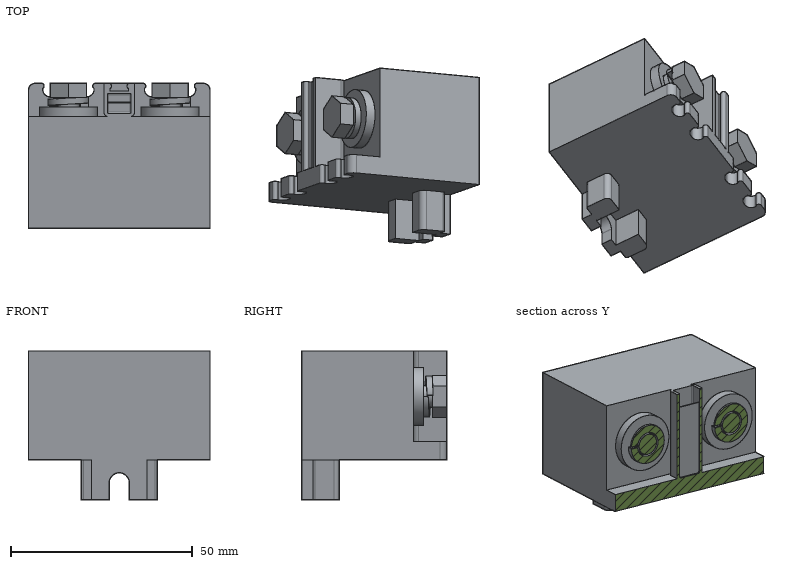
import cadquery as cq
import math

WIDTH = 50.0
DEPTH = 40.0
BODY_HEIGHT = 30.0
BODY_DEPTH = 30.8
SHELF_HEIGHT = 5.1
SHELF_CORNER_RADIUS = 1.9
LIP_RADIUS = 0.8

BOLT_SPACING = 28.0
BOLT_POSITIONS = (-BOLT_SPACING / 2, BOLT_SPACING / 2)
BOLT_HEIGHT = 17.45
FLAT_WASHER_DIAMETER = 16.0
FLAT_WASHER_THICKNESS = 2.7
SHANK_DIAMETER = 6.0
HEX_ACROSS_FLATS = 10.05
HEX_THICKNESS = 4.0
SPRING_INNER_DIAMETER = 6.7
SPRING_OUTER_DIAMETER = 11.2
SPRING_THICKNESS = 1.7
SPRING_PITCH = 1.4
SPRING_TURN = 0.99
SPRING_START = -0.35
NOTCH_WIDTH = 4.45
NOTCH_OFFSET = 4.8
NOTCH_DEPTH = 3.75
NOTCH_CORNER_RADIUS = 2.0
NOTCH_LIP_OVERHANG = 0.35

HOUSING_WIDTH = 8.5
HOUSING_ROOT_RADIUS = 1.45
HOUSING_ROOT_LENGTH = 1.35
CHANNEL_WIDTH = 5.1
CHANNEL_DEPTH = 2.1
CHANNEL_LIP_OVERHANG = 0.4
POCKET_WIDTH = 6.6
POCKET_LENGTH = 5.45
POCKET_BACK_WALL = 2.85
POCKET_RADIUS = 0.4
RIB_THICKNESS = 0.25
RIB_DROP = 4.0
RIB_OFFSET = 5.3

FOOT_HEIGHT = 11.0
FOOT_WIDTH = 21.0
FOOT_DEPTH = 10.4
PLATE_WIDTH = 15.25
PLATE_THICKNESS = 3.1
FOOT_RECESS_WIDTH = 10.1
FOOT_FRONT_RADIUS = 0.6
FOOT_REAR_RADIUS = 1.5
SLOT_WIDTH = 5.5
SLOT_HEIGHT = 7.4


def box(x_min, x_max, y_min, y_max, z_min, z_max):
    size = (x_max - x_min, y_max - y_min, z_max - z_min)
    return cq.Workplane("XY").box(*size, centered=False).translate((x_min, y_min, z_min))


def lipped_recess(width, depth, lip_overhang, z_min, z_max, corner_radius=0.0):
    """Recess cut from the rear face, narrowed at its mouth by two rounded lips."""
    half_width = width / 2
    recess = box(-half_width, half_width, DEPTH - depth, DEPTH, z_min, z_max)
    if corner_radius:
        recess = recess.edges("|Z and <Y").fillet(corner_radius)
    lip_x = half_width - lip_overhang + LIP_RADIUS
    lip_y = DEPTH - LIP_RADIUS
    recess = recess.union(box(-lip_x, lip_x, lip_y, DEPTH, z_min, z_max))
    lips = (
        cq.Workplane("XY", origin=(0, 0, z_min))
        .pushPoints([(-lip_x, lip_y), (lip_x, lip_y)])
        .circle(LIP_RADIUS)
        .extrude(z_max - z_min)
    )
    return recess.cut(lips)


def make_body():
    """Solid block with a lower rear shelf that is notched around the bolts."""
    block = box(-WIDTH / 2, WIDTH / 2, 0, BODY_DEPTH, 0, BODY_HEIGHT)
    shelf = box(-WIDTH / 2, WIDTH / 2, 0, DEPTH, 0, SHELF_HEIGHT)
    shelf = shelf.edges("|Z and >Y").fillet(SHELF_CORNER_RADIUS)
    notch = lipped_recess(
        NOTCH_WIDTH, NOTCH_DEPTH, NOTCH_LIP_OVERHANG, 0, SHELF_HEIGHT, NOTCH_CORNER_RADIUS
    )
    for bolt_x in BOLT_POSITIONS:
        for side in (-1, 1):
            shelf = shelf.cut(notch.translate((bolt_x + side * NOTCH_OFFSET, 0, 0)))
    return block.union(shelf)


def make_housing():
    """Connector housing with a curved root, a lipped rear channel and a ribbed pocket."""
    half_width = HOUSING_WIDTH / 2
    root_y = BODY_DEPTH + HOUSING_ROOT_LENGTH
    sweep = math.asin(HOUSING_ROOT_LENGTH / HOUSING_ROOT_RADIUS)

    def root_point(angle):
        x = half_width - HOUSING_ROOT_RADIUS * (1 - math.cos(angle))
        return x, root_y - HOUSING_ROOT_RADIUS * math.sin(angle)

    mid_x, mid_y = root_point(sweep / 2)
    end_x, end_y = root_point(sweep)
    housing = (
        cq.Workplane("XY")
        .moveTo(-half_width, DEPTH)
        .lineTo(half_width, DEPTH)
        .lineTo(half_width, root_y)
        .threePointArc((mid_x, mid_y), (end_x, end_y))
        .lineTo(-end_x, end_y)
        .threePointArc((-mid_x, mid_y), (-half_width, root_y))
        .close()
        .extrude(BODY_HEIGHT)
    )
    channel = lipped_recess(
        CHANNEL_WIDTH, CHANNEL_DEPTH, CHANNEL_LIP_OVERHANG, SHELF_HEIGHT, BODY_HEIGHT
    )
    pocket_rear = DEPTH - POCKET_BACK_WALL
    pocket = box(
        -POCKET_WIDTH / 2,
        POCKET_WIDTH / 2,
        pocket_rear - POCKET_LENGTH,
        pocket_rear,
        SHELF_HEIGHT,
        BODY_HEIGHT,
    )
    pocket = pocket.edges("|Z").fillet(POCKET_RADIUS).faces("<Z").edges().fillet(POCKET_RADIUS)
    rib_y = DEPTH - RIB_OFFSET
    rib = box(
        -POCKET_WIDTH / 2,
        POCKET_WIDTH / 2,
        rib_y - RIB_THICKNESS / 2,
        rib_y + RIB_THICKNESS / 2,
        SHELF_HEIGHT,
        BODY_HEIGHT - RIB_DROP,
    )
    return housing.cut(channel).cut(pocket.cut(rib))


def make_spring_washer():
    """Split washer: a rectangular section swept along one helical turn that leaves a narrow gap."""
    inner_radius = SPRING_INNER_DIAMETER / 2
    outer_radius = SPRING_OUTER_DIAMETER / 2
    mean_radius = (inner_radius + outer_radius) / 2
    helix = cq.Workplane(obj=cq.Wire.makeHelix(SPRING_PITCH, SPRING_PITCH * SPRING_TURN, mean_radius))
    return (
        cq.Workplane("XZ")
        .center(mean_radius, SPRING_START + SPRING_THICKNESS / 2)
        .rect(outer_radius - inner_radius, SPRING_THICKNESS)
        .sweep(helix, isFrenet=True)
    )


def make_bolt():
    """Bolt with washers, built along +Z from the body face and turned to point along +Y."""
    hex_base = DEPTH - BODY_DEPTH - HEX_THICKNESS
    across_corners = HEX_ACROSS_FLATS / math.cos(math.pi / 6)
    flat_washer = cq.Workplane("XY").circle(FLAT_WASHER_DIAMETER / 2).extrude(FLAT_WASHER_THICKNESS)
    shank = cq.Workplane("XY").circle(SHANK_DIAMETER / 2).extrude(hex_base)
    head = (
        cq.Workplane("XY", origin=(0, 0, hex_base))
        .polygon(6, across_corners)
        .extrude(HEX_THICKNESS)
        .rotate((0, 0, 0), (0, 0, 1), 90)
    )
    spring = make_spring_washer().translate((0, 0, FLAT_WASHER_THICKNESS))
    bolt = flat_washer.union(shank).union(head).union(spring)
    return bolt.rotate((0, 0, 0), (1, 0, 0), -90).translate((0, BODY_DEPTH, BOLT_HEIGHT))


def make_foot():
    """Slotted front plate joined to a wider channel that is open to the rear and below."""
    half_width = FOOT_WIDTH / 2
    recess_half_width = FOOT_RECESS_WIDTH / 2
    plate = box(-PLATE_WIDTH / 2, PLATE_WIDTH / 2, 0, PLATE_THICKNESS, -FOOT_HEIGHT, 0)
    channel = box(-half_width, half_width, PLATE_THICKNESS, FOOT_DEPTH, -FOOT_HEIGHT, 0)
    channel = channel.edges("|Z and <Y").fillet(FOOT_FRONT_RADIUS)
    channel = channel.edges("|Z and >Y").fillet(FOOT_REAR_RADIUS)
    channel = channel.cut(
        box(-recess_half_width, recess_half_width, PLATE_THICKNESS, FOOT_DEPTH, -FOOT_HEIGHT, 0)
    )
    slot_radius = SLOT_WIDTH / 2
    slot_center_z = SLOT_HEIGHT - slot_radius - FOOT_HEIGHT
    slot = box(-slot_radius, slot_radius, 0, FOOT_DEPTH, -FOOT_HEIGHT, slot_center_z)
    slot_end = (
        cq.Workplane("XZ", origin=(0, 0, slot_center_z)).circle(slot_radius).extrude(-FOOT_DEPTH)
    )
    return plate.union(channel).cut(slot).cut(slot_end)


result = make_body().union(make_housing()).union(make_foot())
for bolt_x in BOLT_POSITIONS:
    result = result.union(make_bolt().translate((bolt_x, 0, 0)))